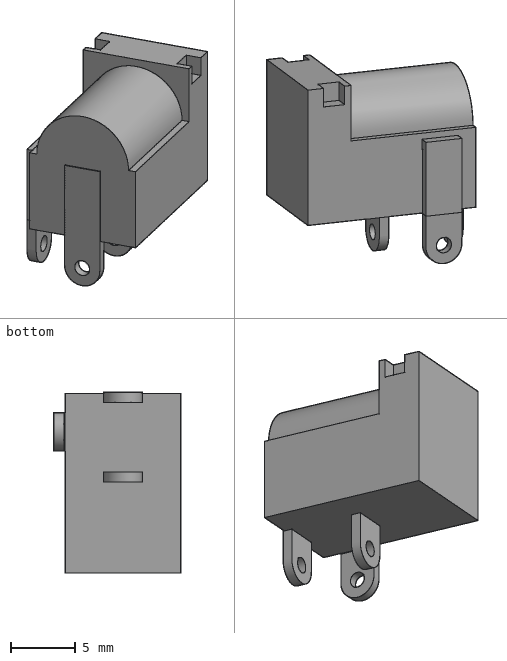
import cadquery as cq


total_height = 15.0

housing_width = 9.0
housing_length = 14.0
lug_drop = 4.0
housing_height = total_height - lug_drop
flange_length = 3.6
barrel_diameter = 7.8
barrel_top_gap = 0.6
barrel_length = housing_length - flange_length
shoulder_height = housing_height - barrel_top_gap - barrel_diameter / 2

notch_depth = 1.5
notch_width = 1.25
notch_length = 1.75
notch_rear_gap = 1.3

sheet = 0.8
lug_width = 3.0
lug_hole_diameter = 1.25
strap_height = 6.0
stand_off = 0.1
side_lug_center_y = 3.0
rear_lug_front_y = 6.1
wall_x = -housing_width / 2
side_outer_x = wall_x - stand_off - sheet


def block(x_min, x_max, y_min, y_max, z_min, z_max):
    """Axis-aligned box given by its limits."""
    size = (x_max - x_min, y_max - y_min, z_max - z_min)
    return cq.Workplane("XY").box(*size, centered=False).translate((x_min, y_min, z_min))


def make_lug(top):
    """Round-ended lug with a hole, centred on X = 0, one sheet thick from Y = 0 toward +Y."""
    radius = lug_width / 2
    eye_height = radius - lug_drop
    return (
        cq.Workplane("XZ")
        .moveTo(-radius, top)
        .lineTo(-radius, eye_height)
        .threePointArc((0, -lug_drop), (radius, eye_height))
        .lineTo(radius, top)
        .close()
        .extrude(-sheet)
        .cut(
            cq.Workplane("XZ")
            .center(0, eye_height)
            .circle(lug_hole_diameter / 2)
            .extrude(-sheet)
        )
    )


def make_housing():
    half_width = housing_width / 2
    base = block(-half_width, half_width, 0, housing_length, 0, shoulder_height)
    flange = block(-half_width, half_width, barrel_length, housing_length, 0, housing_height)
    barrel = (
        cq.Workplane("XZ")
        .center(0, shoulder_height)
        .circle(barrel_diameter / 2)
        .extrude(-barrel_length)
    )
    barrel = barrel.intersect(block(-half_width, half_width, 0, barrel_length, 0, housing_height))
    body = base.union(flange).union(barrel)

    notch_rear = housing_length - notch_rear_gap
    notch_front = notch_rear - notch_length
    notch_floor = housing_height - notch_depth
    for x_min in (-half_width, half_width - notch_width):
        body = body.cut(
            block(x_min, x_min + notch_width, notch_front, notch_rear, notch_floor, housing_height)
        )

    return body.cut(block(-lug_width / 2, lug_width / 2, 0, sheet - stand_off, 0, strap_height))


def make_front_terminal():
    return make_lug(strap_height).translate((0, -stand_off, 0))


def make_rear_lug():
    return make_lug(0).translate((0, rear_lug_front_y, 0))


def make_side_lug():
    turned = make_lug(0).rotate((0, 0, 0), (0, 0, 1), -90)
    return turned.translate((side_outer_x, side_lug_center_y, 0))


def make_side_strap():
    """Upright sheet beside the housing, its top bent inward to touch the wall."""
    y_min = side_lug_center_y - lug_width / 2
    y_max = y_min + lug_width
    upright = block(side_outer_x, side_outer_x + sheet, y_min, y_max, 0, strap_height)
    bend = block(side_outer_x, wall_x, y_min, y_max, strap_height - sheet, strap_height)
    return upright.union(bend)


housing = make_housing()
front_terminal = make_front_terminal()
rear_lug = make_rear_lug()
side_lug = make_side_lug()
side_strap = make_side_strap()

result = cq.Compound.makeCompound([
    housing.val(),
    front_terminal.val(),
    rear_lug.val(),
    side_lug.val(),
    side_strap.val(),
])